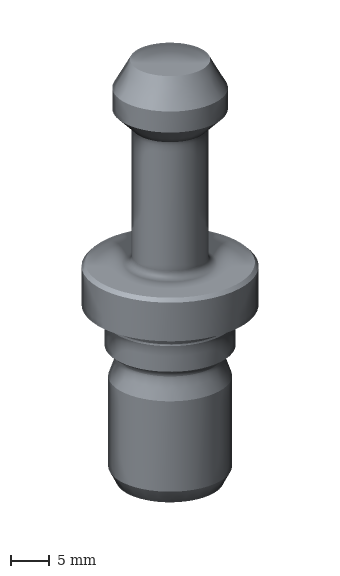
import cadquery as cq

total_height = 60.0

thread_radius = 8.05
end_radius = 7.0
neck_radius = 6.95
pilot_radius = 8.5
undercut_radius = 8.35
flange_radius = 11.49
shank_radius = 5.0
head_radius = 7.5
head_top_radius = 5.2

end_chamfer_height = 2.0
thread_top = 14.9
neck_bottom = 17.95
neck_top = 18.1
pilot_top = 23.0
flange_bottom = 25.0
flange_top = 31.0
head_band_bottom = 53.0
head_band_top = 56.0

neck_fillet = 1.0
pilot_chamfer = 0.2
undercut_fillet = 0.3
flange_chamfer = 0.5
shank_fillet = 1.0

pilot_bottom = neck_top + neck_fillet
head_bottom = head_band_bottom - (head_radius - shank_radius)

profile = (
    cq.Workplane("XZ")
    .moveTo(0, 0)
    .lineTo(end_radius, 0)
    .lineTo(thread_radius, end_chamfer_height)
    .lineTo(thread_radius, thread_top)
    .lineTo(neck_radius, neck_bottom)
    .lineTo(neck_radius, neck_top)
    .radiusArc((neck_radius + neck_fillet, pilot_bottom), neck_fillet)
    .lineTo(pilot_radius - pilot_chamfer, pilot_bottom)
    .lineTo(pilot_radius, pilot_bottom + pilot_chamfer)
    .lineTo(pilot_radius, pilot_top)
    .lineTo(undercut_radius, pilot_top + pilot_chamfer)
    .lineTo(undercut_radius, flange_bottom - undercut_fillet)
    .radiusArc((undercut_radius + undercut_fillet, flange_bottom), undercut_fillet)
    .lineTo(flange_radius, flange_bottom)
    .lineTo(flange_radius, flange_top - flange_chamfer)
    .lineTo(flange_radius - flange_chamfer, flange_top)
    .lineTo(shank_radius + shank_fillet, flange_top)
    .radiusArc((shank_radius, flange_top + shank_fillet), shank_fillet)
    .lineTo(shank_radius, head_bottom)
    .lineTo(head_radius, head_band_bottom)
    .lineTo(head_radius, head_band_top)
    .lineTo(head_top_radius, total_height)
    .lineTo(0, total_height)
    .close()
)

result = profile.revolve(360, (0, 0, 0), (0, 1, 0))